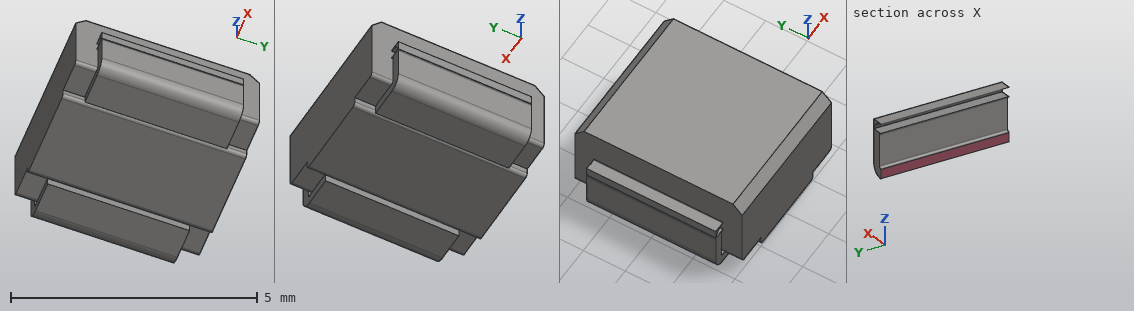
import cadquery as cq
import math

length_x = 4.0
length_y = 4.0
height = 2.0

housing_width = 3.43
housing_floor = 0.27
boss_width = 2.0
boss_bottom = 0.065
top_chamfer = 0.22
housing_fillet = 0.08

strip_thickness = 0.22
inner_bend_radius = 0.05
outer_bend_radius = inner_bend_radius + strip_thickness
strip_width = 3.09
foot_end = 1.05
terminal_top = 1.25
arm_top = terminal_top - strip_thickness
skin = 0.005


def make_housing():
    block = cq.Workplane("XY").box(
        housing_width, length_y, height - housing_floor, centered=(True, True, False)
    )
    block = block.translate((0, 0, housing_floor))
    block = block.faces(">Z").edges("|X").chamfer(top_chamfer)
    block = block.faces("<Z").edges("|Y").fillet(housing_fillet)
    boss_height = housing_floor - boss_bottom
    boss = cq.Workplane("XY").box(boss_width, length_y, boss_height, centered=(True, True, False))
    boss = boss.translate((0, 0, boss_bottom))
    boss = boss.faces("<Z").edges("|Y").fillet(housing_fillet)
    return block.union(boss)


def make_terminal():
    """Terminal on the -X side: foot, arm and a grooved lip along the top."""
    outer_x = -length_x / 2
    inner_x = outer_x + strip_thickness
    wall_x = -housing_width / 2
    bend_x = outer_x + outer_bend_radius
    upper_bend_z = arm_top - skin - inner_bend_radius
    groove_radius = outer_bend_radius - skin

    def on_bend(center_z, radius, degrees):
        angle = math.radians(degrees)
        return (bend_x + radius * math.cos(angle), center_z + radius * math.sin(angle))

    def at_arm_top(radius):
        """Point of an upper bend arc at the height of the arm's top face."""
        rise = arm_top - upper_bend_z
        return (bend_x - math.sqrt(radius**2 - rise**2), arm_top)

    def middle_angle(radius, top_angle):
        """Angle halfway between a given angle and the arc's arm-top point."""
        start = 180 - math.degrees(math.asin((arm_top - upper_bend_z) / radius))
        return (start + top_angle) / 2

    profile = (
        cq.Workplane("XZ", origin=(0, strip_width / 2, 0))
        .moveTo(-foot_end, 0)
        .lineTo(bend_x, 0)
        .threePointArc(on_bend(outer_bend_radius, outer_bend_radius, 225), (outer_x, outer_bend_radius))
        .lineTo(outer_x, upper_bend_z)
        .threePointArc(
            on_bend(upper_bend_z, outer_bend_radius, middle_angle(outer_bend_radius, 180)),
            at_arm_top(outer_bend_radius),
        )
        .lineTo(outer_x, arm_top)
        .lineTo(outer_x, terminal_top)
        .lineTo(wall_x, terminal_top)
        .lineTo(wall_x, upper_bend_z + groove_radius)
        .lineTo(bend_x, upper_bend_z + groove_radius)
        .threePointArc(
            on_bend(upper_bend_z, groove_radius, middle_angle(groove_radius, 90)),
            at_arm_top(groove_radius),
        )
        .lineTo(wall_x, arm_top)
        .lineTo(wall_x, arm_top - skin)
        .lineTo(bend_x, arm_top - skin)
        .threePointArc(on_bend(upper_bend_z, inner_bend_radius, 135), (inner_x, upper_bend_z))
        .lineTo(inner_x, outer_bend_radius)
        .threePointArc(on_bend(outer_bend_radius, inner_bend_radius, 225), (bend_x, strip_thickness))
        .lineTo(-foot_end, strip_thickness)
        .close()
    )
    return profile.extrude(strip_width)


housing = make_housing()

terminals = []
for turn in (0, 180):
    terminal = make_terminal().rotate((0, 0, 0), (0, 0, 1), turn)
    terminals.append(terminal.val())

result = cq.Compound.makeCompound([housing.val(), *terminals])